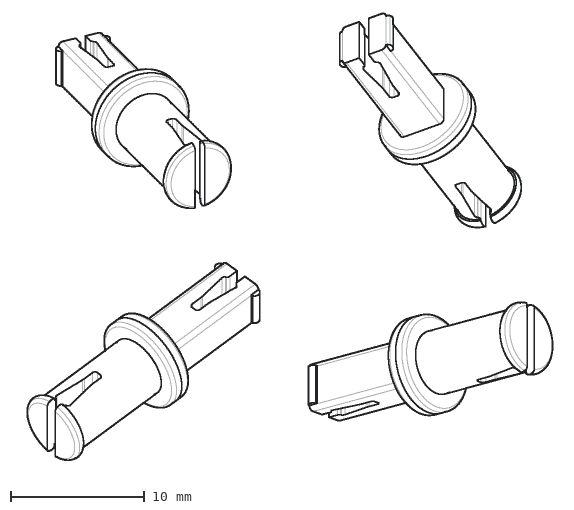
import cadquery as cq

total_length = 20.2
flange_thickness = 1.7
flange_diameter = 7.5
flange_fillet = 0.26
half_flange = flange_thickness / 2
mid_x = total_length / 2
prong_length = mid_x - half_flange

prong_width = 3.7
prong_corner_radius = 0.36
bead_length = 0.77
bead_projection = 0.36
bead_back_step = 0.15
bead_nose_length = 0.12
bead_nose_projection = 0.26
bead_height = prong_width - 2 * prong_corner_radius

barrel_diameter = 4.87
rim_diameter = 5.53
rim_length = 0.8
rim_back_step = 0.16
rim_nose_length = 0.25
rim_projection = (rim_diameter - barrel_diameter) / 2
rim_nose_projection = 0.28

slot_half_width = 0.4
slot_max_half_width = 0.73
mouth_end = 0.95
shoulder_end = 1.15
taper_end = 3.8
slot_depth = 5.03
slot_end_radius = 0.25
shoulder_bend_radius = 0.26
taper_bend_radius = 1.62


def spring_slot():
    """Cutter for a slot that opens at X = 0 and runs through in Z."""
    upper_side = [
        (0, slot_half_width),
        (mouth_end, slot_half_width),
        (shoulder_end, slot_max_half_width),
        (taper_end, slot_half_width),
        (slot_depth, slot_half_width),
    ]
    lower_side = [(x, -y) for x, y in reversed(upper_side)]
    slot = cq.Workplane("XY").polyline(upper_side + lower_side).close().extrude(rim_diameter, both=True)
    bends = (
        (mouth_end, shoulder_bend_radius),
        (shoulder_end, shoulder_bend_radius),
        (taper_end, taper_bend_radius),
        (slot_depth, slot_end_radius),
    )
    for bend_x, radius in bends:
        slot = fillet_upright_edges(slot, bend_x, radius)
    return slot


def fillet_upright_edges(body, edge_x, radius):
    """Round the edges parallel to Z that lie at the given X."""
    tolerance = 0.002
    region = cq.selectors.BoxSelector(
        (edge_x - tolerance, -rim_diameter, -rim_diameter),
        (edge_x + tolerance, rim_diameter, rim_diameter),
    )
    return body.edges("|Z").edges(region).fillet(radius)


def snap_profile(base, length, projection, back_step, nose_length, nose_projection):
    """Rounded snap outline on a surface at Y = base, with its nose at X = 0 and a step at its back."""
    crest_x = (nose_length + length) / 2
    return (
        cq.Workplane("XY")
        .moveTo(0, 0)
        .lineTo(0, base)
        .tangentArcPoint((nose_length, base + nose_projection), relative=False)
        .threePointArc((crest_x, base + projection), (length, base + back_step))
        .lineTo(length, 0)
        .close()
    )


def make_square_prong():
    """Slotted square bar with a rounded bead on each side at its free end."""
    prong = (
        cq.Workplane("YZ")
        .rect(prong_width, prong_width)
        .extrude(prong_length)
        .edges("|X")
        .fillet(prong_corner_radius)
    )
    bead = snap_profile(
        prong_width / 2, bead_length, bead_projection, bead_back_step, bead_nose_length, bead_nose_projection
    ).extrude(bead_height).translate((0, 0, -bead_height / 2))
    prong = prong.union(bead).union(bead.mirror("XZ"))
    return prong.cut(spring_slot())


def make_flange_disc(start_x, outer_face):
    """Half of the flange, rounded on the rim of its outer face."""
    return (
        cq.Workplane("YZ", origin=(start_x, 0, 0))
        .circle(flange_diameter / 2)
        .extrude(half_flange)
        .faces(outer_face)
        .edges()
        .fillet(flange_fillet)
    )


def make_round_prong():
    """Slotted cylinder with a rounded snap rim at its free end."""
    barrel = cq.Workplane("YZ").circle(barrel_diameter / 2).extrude(prong_length)
    rim = snap_profile(
        barrel_diameter / 2, rim_length, rim_projection, rim_back_step, rim_nose_length, rim_nose_projection
    ).revolve(360, (0, 0), (1, 0))
    prong = barrel.union(rim).cut(spring_slot())
    return prong.mirror("YZ").translate((total_length, 0, 0))


square_prong = make_square_prong()
flange_discs = [
    make_flange_disc(start_x, outer_face)
    for start_x, outer_face in ((mid_x - half_flange, "<X"), (mid_x, ">X"))
]
round_prong = make_round_prong()

bodies = [square_prong, *flange_discs, round_prong]
result = cq.Compound.makeCompound([solid for body in bodies for solid in body.solids().vals()])